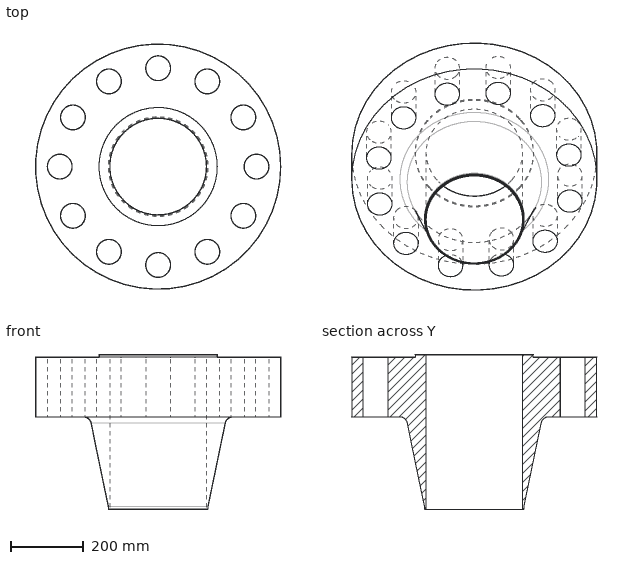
import cadquery as cq

flange_diameter = 673.0
total_height = 425.5
bore_diameter = 264.5

flange_thickness = 165.0
face_diameter = 324.5
face_height = 7.0

hub_top_diameter = 375.5
weld_end_diameter = 274.0
weld_end_height = 8.0
weld_end_chamfer = 2.0
hub_fillet = 20.0

bolt_count = 12
bolt_circle_diameter = 540.0
bolt_hole_diameter = 67.0

flange_top = total_height - face_height
flange_bottom = flange_top - flange_thickness


def make_hub():
    """Revolved cone on a chamfered cylindrical weld end."""
    weld_radius = weld_end_diameter / 2
    return (
        cq.Workplane("XZ")
        .lineTo(weld_radius - weld_end_chamfer, 0)
        .lineTo(weld_radius, weld_end_chamfer)
        .lineTo(weld_radius, weld_end_height)
        .lineTo(hub_top_diameter / 2, flange_bottom)
        .lineTo(0, flange_bottom)
        .close()
        .revolve(360, (0, 0), (0, 1))
    )


def make_flange():
    """Flange disc with the raised face on top."""
    disc = (
        cq.Workplane("XY", origin=(0, 0, flange_bottom))
        .circle(flange_diameter / 2)
        .extrude(flange_thickness)
    )
    return disc.faces(">Z").workplane().circle(face_diameter / 2).extrude(face_height)


body = make_flange().union(make_hub())

selection_margin = 1.0
underside_box = cq.selectors.BoxSelector(
    (-hub_top_diameter, -hub_top_diameter, flange_bottom - selection_margin),
    (hub_top_diameter, hub_top_diameter, flange_bottom + selection_margin),
)
body = body.edges(underside_box).edges(cq.selectors.RadiusNthSelector(0)).fillet(hub_fillet)

bore = cq.Workplane("XY").circle(bore_diameter / 2).extrude(total_height)

bolt_holes = (
    cq.Workplane("XY", origin=(0, 0, flange_bottom))
    .polarArray(bolt_circle_diameter / 2, 0, 360, bolt_count)
    .circle(bolt_hole_diameter / 2)
    .extrude(flange_thickness)
)

result = body.cut(bore).cut(bolt_holes)